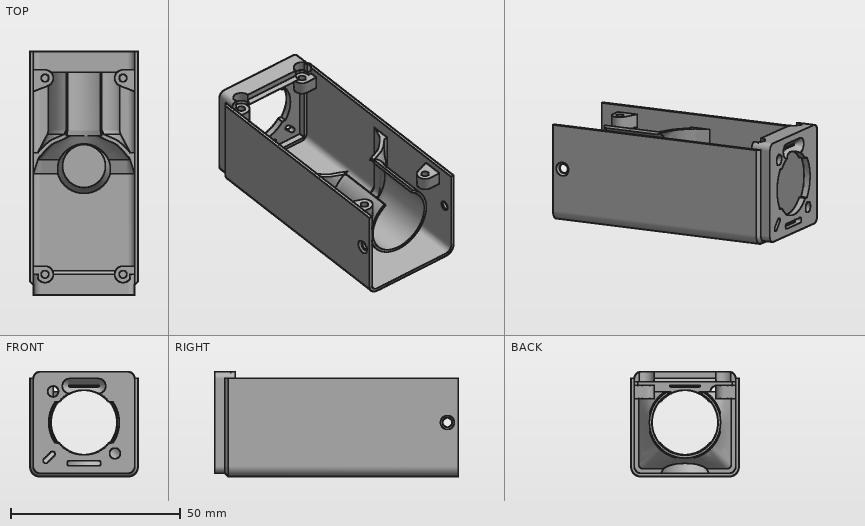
import cadquery as cq
import math

length = 72.0
wall = 1.0
outer_half_width = 16.0
inner_half_width = outer_half_width - wall
wall_top = 29.1
outer_corner = 3.0
inner_corner = outer_corner - wall

plug_top = 31.0
axis_z = (wall + plug_top) / 2
plug_plate = 2.0
plug_depth = 6.1
plug_rim_depth = 4.0
shell_start = 3.0
shell_chamfer = 1.0
panel_bottom = 28.1
panel_lip = 1.0

lens_radius = 9.5
lobe_radius = 10.45
lobe_half_height = 6.05
pin_hole_diameter = 3.2
pin_offset = 9.15
diagonal_slot_length = 4.3
diagonal_slot_width = 1.5
diagonal_slot_offset = 10.3
diagonal_slot_angle = -45.0
lower_slot_length = 10.0
lower_slot_width = 1.6
lower_slot_z = 3.95
upper_slot_z = 26.8
upper_slot_half_span = 4.2
upper_slot_mouth_radius = 2.2
upper_slot_throat_radius = 0.2

lug_x = 11.5
lug_radius = 2.45
lug_hole_diameter = 2.2
lug_top = 27.0
lug_height = 3.95
front_lug_y = plug_depth
rear_lug_y = 64.1
rear_lug_slope_y = 60.1
rear_lug_slope = math.radians(20)
lug_notch_x = 13.5

tube_radius = 10.5
tube_bore_radius = 9.7
tube_start = 48.7
tube_end = 65.9
tube_gap_angle = 60.0
funnel_mouth_y = 35.85
funnel_throat_y = 39.95
funnel_shoulder_y = 42.05
funnel_half = 13.6
funnel_corner_center = 12.4
shoulder_half = 13.7
inner_blend_y = 47.0
inner_blend_radius = 10.0
outer_blend_y = 47.5
outer_blend_radius = 10.8
funnel_top = 25.1

boss_y = 38.1
boss_base_radius = 8.1
boss_top_radius = 6.3
boss_top = 5.5

side_hole_y = 68.75
side_hole_diameter = 2.7
side_sink_diameter = 4.1


def section(y, z=axis_z):
    """Sketch plane facing +Y; local Y points to +Z and local X to -X."""
    return cq.Workplane(cq.Plane((0, y, z), xDir=(-1, 0, 0), normal=(0, 1, 0)))


def box(x_min, x_max, y_min, y_max, z_min, z_max):
    size = (x_max - x_min, y_max - y_min, z_max - z_min)
    return cq.Workplane().box(*size, centered=False).translate((x_min, y_min, z_min))


def rounded_bar(half_width, z_min, z_max, y_min, y_max, corner):
    bar = box(-half_width, half_width, y_min, y_max, z_min, z_max)
    return bar.edges("|Y").fillet(corner)


def make_shell():
    """Open-topped channel with rounded lower corners."""
    shell = box(-outer_half_width, outer_half_width, shell_start, length, 0, wall_top)
    shell = shell.edges("|Y and <Z").fillet(outer_corner)
    shell = shell.faces("<Y").edges("not >Z").chamfer(shell_chamfer)
    cavity = box(-inner_half_width, inner_half_width, 0, length, wall, plug_top)
    return shell.cut(cavity.edges("|Y and <Z").fillet(inner_corner))


def make_plug():
    """Front cap: a thin plate with a top panel and side walls behind it."""
    plug = rounded_bar(inner_half_width, wall, plug_top, 0, plug_depth, inner_corner)
    hollow_half = inner_half_width - wall
    plug = plug.cut(box(-hollow_half, hollow_half, plug_plate, plug_depth, 2 * wall, panel_bottom))
    plug = plug.cut(
        box(-inner_half_width, inner_half_width, plug_rim_depth, plug_depth, 0, panel_bottom)
    )
    lip = (
        cq.Workplane("YZ", origin=(-lug_x, 0, 0))
        .moveTo(plug_depth, panel_bottom)
        .lineTo(plug_depth + panel_lip, panel_bottom)
        .lineTo(plug_depth, panel_bottom + panel_lip)
        .close()
        .extrude(2 * lug_x)
    )
    return plug.union(lip)


def cut_plate_openings(plug):
    """Lens opening with two side lobes, pin holes and slots in the front plate."""
    lens = section(0).circle(lens_radius).extrude(plug_plate)
    lobes = section(0).circle(lobe_radius).extrude(plug_plate)
    lobe_band = section(0).rect(2 * lobe_radius, 2 * lobe_half_height).extrude(plug_plate)
    plug = plug.cut(lens).cut(lobes.intersect(lobe_band))

    pins = section(0).pushPoints([(pin_offset, pin_offset), (-pin_offset, -pin_offset)])
    plug = plug.cut(pins.circle(pin_hole_diameter / 2).extrude(plug_plate))

    diagonal = (
        section(0)
        .center(diagonal_slot_offset, -diagonal_slot_offset)
        .slot2D(diagonal_slot_length, diagonal_slot_width, diagonal_slot_angle)
    )
    plug = plug.cut(diagonal.extrude(plug_plate))
    lower = section(0, z=lower_slot_z).slot2D(lower_slot_length, lower_slot_width)
    plug = plug.cut(lower.extrude(plug_plate))

    straight = 2 * upper_slot_half_span
    upper = (
        section(0, z=upper_slot_z)
        .slot2D(straight + 2 * upper_slot_mouth_radius, 2 * upper_slot_mouth_radius)
        .workplane(offset=plug_plate)
        .slot2D(straight + 2 * upper_slot_throat_radius, 2 * upper_slot_throat_radius)
        .loft(ruled=True)
    )
    return plug.cut(upper)


def square_wire(y, half_side):
    """Square around the lens axis whose corners are arcs about fixed centres."""
    side = 2 * half_side
    block = section(y).rect(side, side).extrude(wall)
    return block.edges("|Y").fillet(half_side - funnel_corner_center).faces("<Y").wires().val()


def circle_wire(y, radius):
    return section(y).circle(radius).wires().val()


def loft(*wires):
    return cq.Workplane(cq.Solid.makeLoft(wires, True))


def make_funnel():
    """Square-to-round funnel that carries the slotted rear tube."""
    tube_length = tube_end - tube_start
    funnel = rounded_bar(
        inner_half_width, wall, plug_top, funnel_mouth_y, funnel_shoulder_y, inner_corner
    )
    outer_blend = circle_wire(outer_blend_y, outer_blend_radius)
    funnel = funnel.union(loft(square_wire(funnel_shoulder_y, shoulder_half), outer_blend))
    funnel = funnel.union(loft(outer_blend, circle_wire(tube_start, tube_radius)))
    funnel = funnel.union(section(tube_start).circle(tube_radius).extrude(tube_length))

    throat = square_wire(funnel_throat_y, funnel_half)
    inner_blend = circle_wire(inner_blend_y, inner_blend_radius)
    funnel = funnel.cut(loft(square_wire(funnel_mouth_y, inner_half_width), throat))
    funnel = funnel.cut(loft(throat, inner_blend))
    funnel = funnel.cut(loft(inner_blend, circle_wire(tube_start, tube_bore_radius)))
    funnel = funnel.cut(section(tube_start).circle(tube_bore_radius).extrude(tube_length))

    above = box(-outer_half_width, outer_half_width, 0, length, funnel_top, 2 * plug_top)
    funnel = funnel.cut(above)

    gap_height = 2 * tube_radius
    gap_half = gap_height * math.tan(math.radians(tube_gap_angle / 2))
    gap = section(inner_blend_y).polyline([(0, 0), (gap_half, gap_height), (-gap_half, gap_height)])
    return funnel.cut(gap.close().extrude(tube_end - inner_blend_y))


def make_boss():
    """Truncated cone standing on the floor, partly inside the funnel mouth."""
    slope_height = boss_top - wall
    cone = cq.Solid.makeCone(boss_base_radius, boss_top_radius, slope_height)
    return cq.Workplane(cone.translate(cq.Vector(0, boss_y, wall)))


def make_lug(outline, y):
    """Screw lug on the +X wall; the outline is drawn from above."""
    lug = outline.extrude(lug_height)
    lug = lug.union(lug_cylinder(y, lug_radius, lug_top - lug_height, lug_top))
    return lug.cut(lug_cylinder(y, lug_hole_diameter / 2, lug_top - lug_height, lug_top))


def lug_cylinder(y, radius, z_min, z_max):
    return cq.Workplane("XY", origin=(lug_x, y, z_min)).circle(radius).extrude(z_max - z_min)


def make_front_lug():
    """Lug that reaches under the rear edge of the top panel."""
    outline = cq.Workplane("XY", origin=(0, 0, lug_top - lug_height)).polyline([
        (lug_x, front_lug_y),
        (inner_half_width, front_lug_y),
        (inner_half_width, front_lug_y + lug_radius),
        (lug_x, front_lug_y + lug_radius),
    ])
    return make_lug(outline.close(), front_lug_y)


def make_rear_lug():
    """Lug with a straight back and a slanted front."""
    slope_x = lug_x - lug_radius * math.sin(rear_lug_slope)
    slope_y = rear_lug_y - lug_radius * math.cos(rear_lug_slope)
    outline = cq.Workplane("XY", origin=(0, 0, lug_top - lug_height)).polyline([
        (lug_x, rear_lug_y + lug_radius),
        (inner_half_width, rear_lug_y + lug_radius),
        (inner_half_width, rear_lug_slope_y),
        (slope_x, slope_y),
    ])
    return make_lug(outline.close(), rear_lug_y)


def make_lug_notch():
    """Clearance above the front lug, cut into the top panel."""
    notch = lug_cylinder(front_lug_y, lug_radius, lug_top, plug_top)
    inner = box(0, lug_notch_x, 0, length, lug_top, plug_top)
    return notch.intersect(inner)


def make_side_hole():
    """Countersunk screw hole through the +X wall."""
    sink = (side_sink_diameter - side_hole_diameter) / 2
    hole = cq.Solid.makeCylinder(
        side_hole_diameter / 2, wall, cq.Vector(inner_half_width, side_hole_y, axis_z), cq.Vector(1, 0, 0)
    )
    cone = cq.Solid.makeCone(
        side_sink_diameter / 2, side_hole_diameter / 2, sink,
        cq.Vector(outer_half_width, side_hole_y, axis_z), cq.Vector(-1, 0, 0),
    )
    return cq.Workplane(hole).union(cq.Workplane(cone))


def both_sides(shape):
    return shape.union(shape.mirror("YZ"))


result = make_shell().union(cut_plate_openings(make_plug()))
result = result.union(make_funnel()).union(make_boss())
result = result.cut(both_sides(make_lug_notch()))
result = result.union(both_sides(make_front_lug())).union(both_sides(make_rear_lug()))
result = result.cut(both_sides(make_side_hole()))